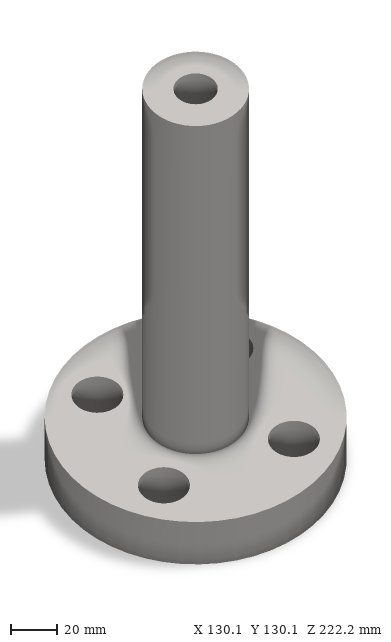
import cadquery as cq

flange_diameter = 130.05
flange_thickness = 25.4

overall_height = 222.25
neck_diameter = 46.0
bore_diameter = 19.05

bolt_hole_count = 4
bolt_hole_diameter = 22.35
bolt_circle_diameter = 88.9


def make_body():
    """Flange disc with its bottom face at Z = 0 and the neck rising from it."""
    flange = cq.Workplane("XY").circle(flange_diameter / 2).extrude(flange_thickness)
    neck = cq.Workplane("XY").circle(neck_diameter / 2).extrude(overall_height)
    return flange.union(neck)


def make_bore():
    """Central bore through the full height."""
    return cq.Workplane("XY").circle(bore_diameter / 2).extrude(overall_height)


def make_bolt_holes():
    """Ring of bolt holes through the flange."""
    return (
        cq.Workplane("XY")
        .polarArray(bolt_circle_diameter / 2, 0, 360, bolt_hole_count)
        .circle(bolt_hole_diameter / 2)
        .extrude(flange_thickness)
    )


result = make_body().cut(make_bore()).cut(make_bolt_holes())